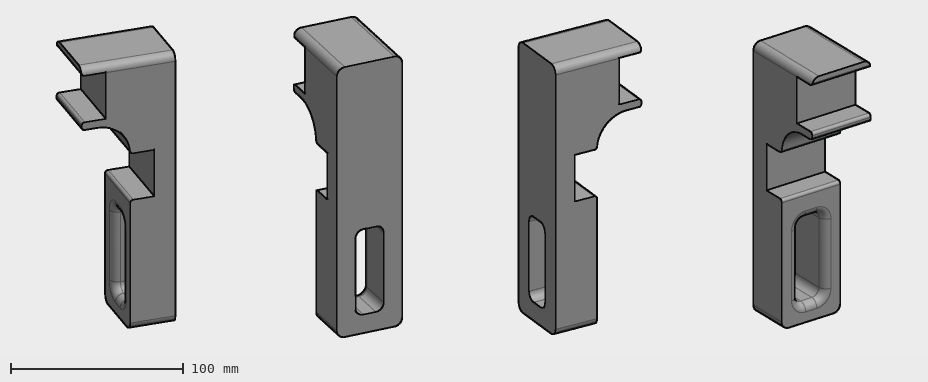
import cadquery as cq

width = 42.0
depth = 58.0
height = 174.0

body_depth = 28.0
neck_depth = 43.0
web_depth = 13.0
lip_thickness = 5.0
jaw_gap = 30.0
cove_radius = 20.0
recess_height = 30.0
edge_radius = 2.0
corner_radius = 5.0

slot_width = 18.1
slot_height = 55.0
slot_corner_radius = 5.0
slot_mouth_radius = 5.0
slot_margin = 7.0

upper_lip_bottom = height - lip_thickness
lower_lip_top = upper_lip_bottom - jaw_gap
lower_lip_bottom = lower_lip_top - lip_thickness
recess_top = lower_lip_bottom - cove_radius
recess_bottom = recess_top - recess_height
cove_end = body_depth + cove_radius
slot_center_z = slot_margin + slot_mouth_radius + slot_height / 2


def make_profile_body():
    """Extrude the side profile symmetrically across the width."""
    cove_mid_offset = cove_radius / 2**0.5
    profile = (
        cq.Workplane("YZ")
        .moveTo(0, 0)
        .lineTo(0, height)
        .lineTo(-depth, height)
        .lineTo(-depth, upper_lip_bottom)
        .lineTo(-neck_depth, upper_lip_bottom)
        .lineTo(-neck_depth, lower_lip_top)
        .lineTo(-depth, lower_lip_top)
        .lineTo(-depth, lower_lip_bottom)
        .lineTo(-cove_end, lower_lip_bottom)
        .threePointArc(
            (-cove_end + cove_mid_offset, recess_top + cove_mid_offset),
            (-body_depth, recess_top),
        )
        .lineTo(-web_depth, recess_top)
        .lineTo(-web_depth, recess_bottom)
        .lineTo(-body_depth, recess_bottom)
        .lineTo(-body_depth, 0)
        .close()
    )
    return profile.extrude(width / 2, both=True)


def round_front_edges(body):
    """Soften the front edges of the lips and of the recess."""
    front_edges = [
        (depth, upper_lip_bottom),
        (depth, lower_lip_top),
        (depth, lower_lip_bottom),
        (body_depth, recess_top),
        (body_depth, recess_bottom),
    ]
    for reach, level in front_edges:
        edge = body.edges(cq.NearestToPointSelector((0, -reach, level)))
        body = edge.fillet(edge_radius)
    return body


def round_outer_corners(body):
    """Round the four corners of the front outline along the full depth."""
    outline = (
        cq.Workplane("XY")
        .box(width, depth, height, centered=(True, False, False))
        .translate((0, -depth, 0))
        .edges("|Y")
        .fillet(corner_radius)
    )
    return body.intersect(outline)


def cut_slot(body):
    """Cut the slot through the body and round its front mouth."""
    slot = (
        cq.Workplane("XY")
        .box(slot_width, 2 * depth, slot_height)
        .edges("|Y")
        .fillet(slot_corner_radius)
        .translate((0, 0, slot_center_z))
    )
    body = body.cut(slot)
    mouth_x = slot_width / 2
    mouth_edge = body.edges(cq.NearestToPointSelector((mouth_x, -body_depth, slot_center_z)))
    return mouth_edge.fillet(slot_mouth_radius)


result = cut_slot(round_outer_corners(round_front_edges(make_profile_body())))